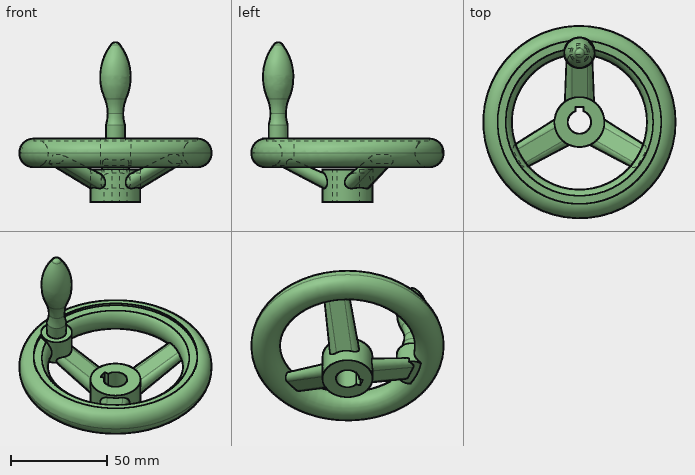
import cadquery as cq
import math

rim_outer_radius = 50.0
rim_tube_radius = 7.5
rim_path_radius = rim_outer_radius - rim_tube_radius
rim_top = 33.0
rim_mid = rim_top - rim_tube_radius
rim_step_depth = 1.3

hub_radius = 13.0
hub_height = 17.0
bore_radius = 6.0
keyway_width = 4.0
keyway_reach = 7.8

spoke_count = 3
spoke_flat_width = 8.0
spoke_inner_edge_radius = 4.1
spoke_outer_edge_radius = 2.4
spoke_start_height = 5.2

handle_offset = 36.0
boss_radius = 8.0
boss_bottom = 19.0
shank_radius = 5.0
shank_top = 40.0
neck_radius = 4.1
neck_height = 46.0
grip_start_radius = 5.5
grip_start_height = 53.5
grip_radius = 8.0
grip_mid_height = 65.0
cap_radius = 2.4
cap_start_height = 81.6
handle_top = 83.0


def make_rim():
    """Round ring with a shallow step cut into the inner half of its top."""
    ring = cq.Workplane("XZ").center(rim_path_radius, rim_mid).circle(rim_tube_radius)
    ring = ring.revolve(360, (-rim_path_radius, 0, 0), (-rim_path_radius, 1, 0))
    step = (
        cq.Workplane("XY")
        .workplane(offset=rim_top - rim_step_depth)
        .circle(rim_path_radius)
        .extrude(2 * rim_step_depth)
    )
    return ring.cut(step)


def make_spoke():
    """Tapered spoke with rounded edges, rising along +Y from the axis to the rim centre."""
    rise = rim_mid - spoke_start_height
    length = math.hypot(rim_path_radius, rise)
    section_plane = cq.Plane(
        origin=(0, 0, spoke_start_height),
        xDir=(1, 0, 0),
        normal=(0, rim_path_radius, rise),
    )
    return (
        cq.Workplane(section_plane)
        .slot2D(spoke_flat_width + 2 * spoke_inner_edge_radius, 2 * spoke_inner_edge_radius)
        .workplane(offset=length)
        .slot2D(spoke_flat_width + 2 * spoke_outer_edge_radius, 2 * spoke_outer_edge_radius)
        .loft(ruled=True)
    )


def bulge_arc_point(radius_at_peak, peak_height, end_radius, end_height, height):
    """Point at a height on the arc that is vertical at its peak and passes through its end."""
    rise = end_height - peak_height
    offset = end_radius - radius_at_peak
    arc_radius = (rise**2 + offset**2) / (2 * abs(offset))
    sagitta = arc_radius - math.sqrt(arc_radius**2 - (height - peak_height) ** 2)
    return radius_at_peak + math.copysign(sagitta, offset), height


def make_handle():
    """Turned handle: straight shank, waisted neck, bulging grip and domed cap."""
    lower_neck_mid = bulge_arc_point(
        neck_radius, neck_height, shank_radius, shank_top, (shank_top + neck_height) / 2
    )
    upper_neck_mid = bulge_arc_point(
        neck_radius, neck_height, grip_start_radius, grip_start_height,
        (neck_height + grip_start_height) / 2,
    )
    cap_mid_height = (cap_start_height + handle_top) / 2
    cap_rise = handle_top - cap_start_height
    cap_sphere_radius = (cap_radius**2 + cap_rise**2) / (2 * cap_rise)
    cap_mid_drop = handle_top - cap_mid_height
    cap_mid_radius = math.sqrt(cap_mid_drop * (2 * cap_sphere_radius - cap_mid_drop))
    profile = (
        cq.Workplane("XZ")
        .moveTo(0, rim_mid)
        .lineTo(shank_radius, rim_mid)
        .lineTo(shank_radius, shank_top)
        .threePointArc(lower_neck_mid, (neck_radius, neck_height))
        .threePointArc(upper_neck_mid, (grip_start_radius, grip_start_height))
        .threePointArc((grip_radius, grip_mid_height), (cap_radius, cap_start_height))
        .threePointArc((cap_mid_radius, cap_mid_height), (0, handle_top))
        .close()
    )
    return profile.revolve(360, (0, 0, 0), (0, 1, 0)).translate((0, handle_offset, 0))


def make_handle_boss():
    """Cylinder on the inside of the rim that carries the handle."""
    return (
        cq.Workplane("XY")
        .workplane(offset=boss_bottom)
        .center(0, handle_offset)
        .circle(boss_radius)
        .extrude(rim_top - boss_bottom)
    )


def make_bore():
    """Through bore with a keyway on the +Y side."""
    keyway = (
        cq.Workplane("XY")
        .rect(keyway_width, keyway_reach, centered=(True, False))
        .extrude(hub_height)
    )
    return cq.Workplane("XY").circle(bore_radius).extrude(hub_height).union(keyway)


wheel = cq.Workplane("XY").circle(hub_radius).extrude(hub_height)
for index in range(spoke_count):
    wheel = wheel.union(make_spoke().rotate((0, 0, 0), (0, 0, 1), index * 360 / spoke_count))
wheel = wheel.union(make_rim()).union(make_handle_boss()).union(make_handle())

result = wheel.cut(make_bore())